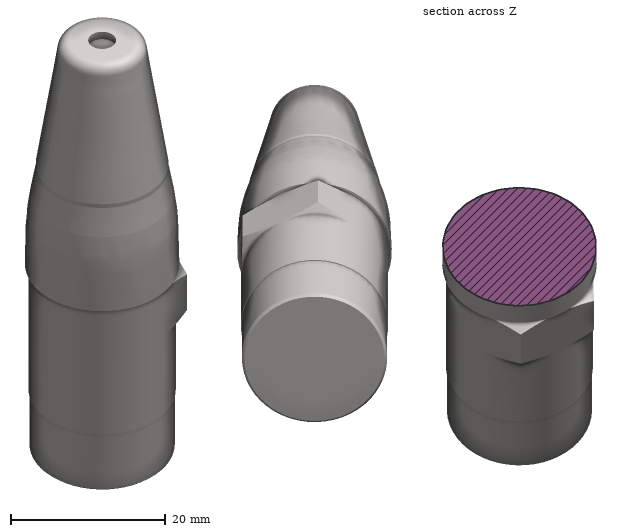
import cadquery as cq
import math

TOTAL_HEIGHT = 66.8
BASE_RADIUS = 9.4
BASE_CHAMFER = 0.35
BASE_TOP = 9.4
BODY_RADIUS = 9.55
BODY_TOP = 30.05
SHOULDER_RADIUS = 10.0
DOME_RADIUS = 9.95
DOME_HEIGHT = 35.4
TAPER_BOTTOM_RADIUS = 9.35
TAPER_BOTTOM = 41.75
LAND_RADIUS = 8.6
LAND_BOTTOM = 45.95
LAND_TOP = 46.55
COLLAR_RADIUS = 6.3
COLLAR_BOTTOM = 62.1
TIP_RADIUS = 5.6
TIP_FILLET = 1.55

HOLE_RADIUS = 1.8
HOLE_DEPTH = 1.2

HEX_TOP = 29.7
HEX_HEIGHT = 7.6
HEX_CHAMFER_ANGLE = math.radians(30)
HEX_HALF_ANGLE = math.radians(30)
HEX_CORNER_RADIUS = BODY_RADIUS / math.cos(HEX_HALF_ANGLE)


def turned_body():
    """Solid of revolution about Z, from the chamfered base to the rounded tip."""
    taper_direction = (LAND_RADIUS - TAPER_BOTTOM_RADIUS, LAND_BOTTOM - TAPER_BOTTOM)
    profile = (
        cq.Workplane("XZ")
        .moveTo(0, 0)
        .lineTo(BASE_RADIUS - BASE_CHAMFER, 0)
        .lineTo(BASE_RADIUS, BASE_CHAMFER)
        .lineTo(BASE_RADIUS, BASE_TOP)
        .lineTo(BODY_RADIUS, BASE_TOP)
        .lineTo(BODY_RADIUS, BODY_TOP)
        .lineTo(SHOULDER_RADIUS, BODY_TOP)
        .spline(
            [(DOME_RADIUS, DOME_HEIGHT), (TAPER_BOTTOM_RADIUS, TAPER_BOTTOM)],
            tangents=[(0, 1), taper_direction],
            includeCurrent=True,
        )
        .lineTo(LAND_RADIUS, LAND_BOTTOM)
        .lineTo(LAND_RADIUS, LAND_TOP)
        .lineTo(COLLAR_RADIUS, COLLAR_BOTTOM)
        .lineTo(TIP_RADIUS, TOTAL_HEIGHT)
        .lineTo(0, TOTAL_HEIGHT)
        .close()
    )
    body = profile.revolve(360, (0, 0, 0), (0, 1, 0))
    return body.faces(">Z").edges().fillet(TIP_FILLET)


def hex_segment():
    """Three hexagon flats on the +Y side, with the two corners chamfered at both ends."""
    bottom = HEX_TOP - HEX_HEIGHT
    tangent_x = BODY_RADIUS * math.cos(HEX_HALF_ANGLE)
    tangent_y = BODY_RADIUS * math.sin(HEX_HALF_ANGLE)
    corner_x = HEX_CORNER_RADIUS * math.sin(HEX_HALF_ANGLE)
    outline = [
        (0, 0),
        (tangent_x, tangent_y),
        (corner_x, BODY_RADIUS),
        (-corner_x, BODY_RADIUS),
        (-tangent_x, tangent_y),
    ]
    prism = cq.Workplane("XY").workplane(offset=bottom).polyline(outline).close().extrude(HEX_HEIGHT)

    drop = (HEX_CORNER_RADIUS - BODY_RADIUS) * math.tan(HEX_CHAMFER_ANGLE)
    chamfered_blank = (
        cq.Workplane("XZ")
        .moveTo(0, bottom)
        .lineTo(BODY_RADIUS, bottom)
        .lineTo(HEX_CORNER_RADIUS, bottom + drop)
        .lineTo(HEX_CORNER_RADIUS, HEX_TOP - drop)
        .lineTo(BODY_RADIUS, HEX_TOP)
        .lineTo(0, HEX_TOP)
        .close()
        .revolve(360, (0, 0, 0), (0, 1, 0))
    )
    return prism.intersect(chamfered_blank)


def tip_hole():
    """Cutter for the blind hole in the top face."""
    return cq.Workplane("XY").workplane(offset=TOTAL_HEIGHT).circle(HOLE_RADIUS).extrude(-HOLE_DEPTH)


result = turned_body().union(hex_segment()).cut(tip_hole())